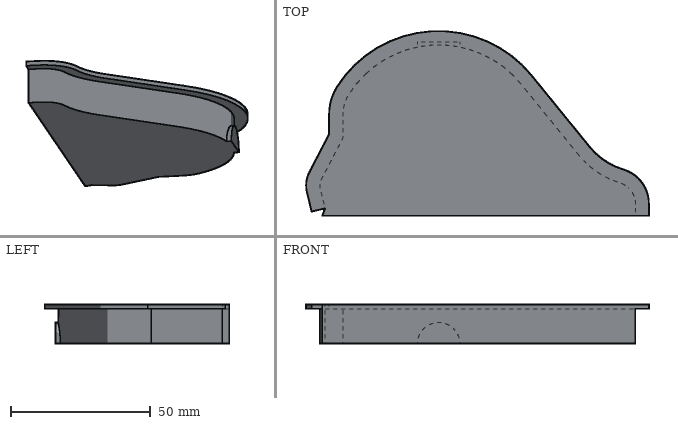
import cadquery as cq
import math

length = 122.7
depth = 66.1
height = 14.0
lip_thickness = 1.6
lip_overhang = 4.9

dome_radius = 43.0
dome_center = (47.4, depth - dome_radius)
flank_angle = math.radians(39.1)

hollow_radius = 24.5
foot_radius = 12.9
foot_center = (length - foot_radius, 4.3)

wall_x = 8.2
shoulder_radius = 18.4
wall_bottom_y = 29.2
heel_radius = 10.0
heel_center = (heel_radius, 10.9)
slant_angle = math.radians(180 - 27.8)
heel_angle = math.radians(180 + 13.6)

heel_end_y = 1.5
notch_foot_x = 5.8

grip_radius = 7.6
grip_projection = 1.0
grip_embed = 18.4


def along(point, angle, distance):
    """Point reached by moving a distance from a point in a direction."""
    return (point[0] + distance * math.cos(angle), point[1] + distance * math.sin(angle))


def direction(start, end):
    return math.atan2(end[1] - start[1], end[0] - start[0])


def hollow_center():
    """Centre of the hollow arc, tangent to both the flank and the foot arc."""
    base = along(dome_center, flank_angle, dome_radius + hollow_radius)
    gap = (foot_center[0] - base[0], foot_center[1] - base[1])
    downhill = gap[0] * math.sin(flank_angle) - gap[1] * math.cos(flank_angle)
    offset = gap[0] * math.cos(flank_angle) + gap[1] * math.sin(flank_angle)
    reach = math.sqrt((hollow_radius + foot_radius) ** 2 - offset**2)
    return along(base, flank_angle - math.pi / 2, downhill - reach)


def shoulder_center():
    """Centre of the shoulder arc, tangent to the upright wall and inside the dome."""
    x = wall_x + shoulder_radius
    rise = math.sqrt((dome_radius - shoulder_radius) ** 2 - (x - dome_center[0]) ** 2)
    return (x, dome_center[1] + rise)


def outline(inset):
    """Closed profile moved inwards by the inset, keeping the front edge on Y = 0."""
    dome = dome_radius - inset
    foot = foot_radius - inset
    hollow = hollow_radius + inset
    shoulder = shoulder_radius - inset
    heel = heel_radius - inset

    hollow_mid = hollow_center()
    shoulder_mid = shoulder_center()
    inflection_angle = direction(foot_center, hollow_mid)
    blend_angle = direction(dome_center, shoulder_mid)

    def arc(sketch, center, radius, start, end):
        middle = along(center, (start + end) / 2, radius)
        return sketch.threePointArc(middle, along(center, end, radius))

    corner_shift = inset * math.tan((math.pi - slant_angle) / 2)
    corner = (wall_x + inset, wall_bottom_y - corner_shift)

    heel_exit = along(heel_center, heel_angle, heel_radius)
    run = (heel_exit[1] - heel_end_y) / -math.cos(heel_angle)
    heel_tip = along(heel_exit, heel_angle + math.pi / 2, run)
    notch_inner = along(heel_tip, heel_angle + math.pi, lip_overhang)
    wall_end = along(heel_tip, heel_angle + math.pi, inset)

    sketch = cq.Workplane("XY").moveTo(notch_foot_x, 0)
    sketch = sketch.lineTo(length - inset, 0).lineTo(length - inset, foot_center[1])
    sketch = arc(sketch, foot_center, foot, 0, inflection_angle)
    sketch = arc(sketch, hollow_mid, hollow, inflection_angle - math.pi, flank_angle - math.pi)
    sketch = sketch.lineTo(*along(dome_center, flank_angle, dome))
    sketch = arc(sketch, dome_center, dome, flank_angle, blend_angle)
    sketch = arc(sketch, shoulder_mid, shoulder, blend_angle, math.pi)
    sketch = sketch.lineTo(*corner).lineTo(*along(heel_center, slant_angle, heel))
    sketch = arc(sketch, heel_center, heel, slant_angle, heel_angle)
    sketch = sketch.lineTo(*wall_end)
    if inset < lip_overhang:
        sketch = sketch.lineTo(*notch_inner)
    return sketch.close()


def make_grip():
    """Half disc on the bottom plane, centred on the top of the dome."""
    plug_back = depth - lip_overhang
    disc = (
        cq.Workplane("XZ", origin=(dome_center[0], plug_back + grip_projection, 0))
        .moveTo(-grip_radius, 0)
        .threePointArc((0, grip_radius), (grip_radius, 0))
        .close()
        .extrude(grip_projection + grip_embed)
    )
    return disc


plug = outline(lip_overhang).extrude(height)
lip = outline(0).extrude(lip_thickness).translate((0, 0, height - lip_thickness))
result = plug.union(lip).union(make_grip())